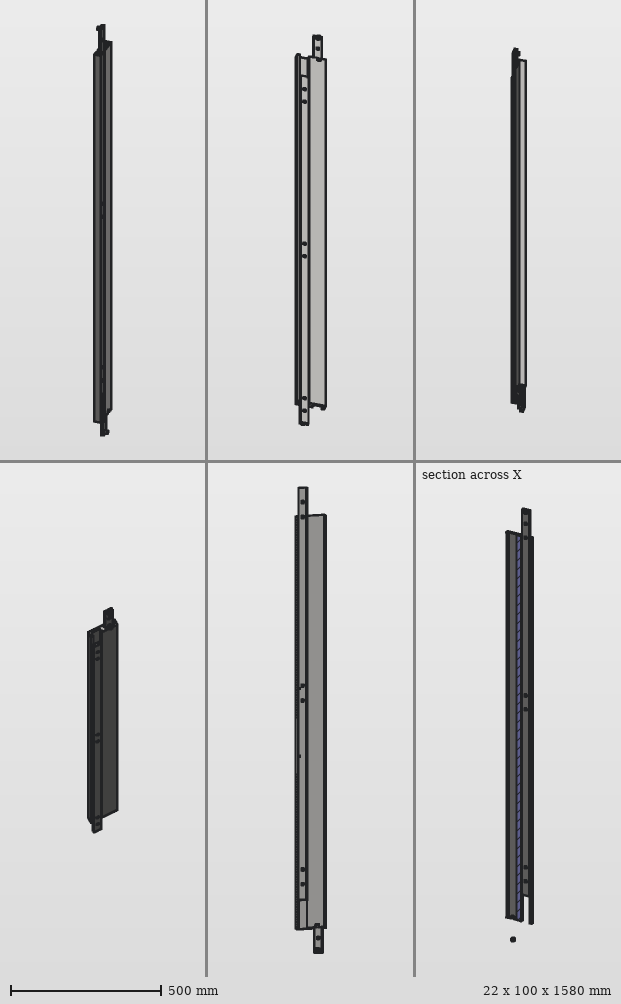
import cadquery as cq

DEPTH = 22.0
WIDTH = 100.0
TOTAL_HEIGHT = 1580.0
MEMBER_LENGTH = 1400.0
CARRIER_BOTTOM = 84.0
CARRIER_TOP = CARRIER_BOTTOM + MEMBER_LENGTH

WEB_THICKNESS = 8.0
CHANNEL_CENTER = 25.0
CHANNEL_WIDTH = 32.0
CHANNEL_DEPTH = DEPTH - WEB_THICKNESS
NOTCH_DIAMETER = 13.0
NOTCH_INSET = 5.0

SLIDE_WIDTH = 28.0
SLIDE_THICKNESS = 10.0
GROOVE_RADIUS = 3.0
HOLE_DIAMETER = 8.7
FIRST_HOLE = 49.0
HOLE_SPACING = 50.0
PAIR_PITCH = 624.0
PAIR_COUNT = 3
HOLES_PER_PAIR = 2
STOP_DIAMETER = 11.9
STOP_HEIGHT = 10.0
STOP_INSET = 8.0


def turned_end_for_end(body):
    """Turn a body half a turn about the X axis through mid-height, then mirror it across X.

    This carries the +Y, -X, lower side of the assembly onto the -Y, +X, upper side.
    """
    mid_height = TOTAL_HEIGHT / 2
    turned = body.rotate((0, 0, mid_height), (1, 0, mid_height), 180)
    return turned.mirror("YZ")


def x_cylinder(diameter, x_start, length, y, z):
    """Cylinder along +X from x_start."""
    plane = cq.Plane(origin=(x_start, y, z), xDir=(0, 1, 0), normal=(1, 0, 0))
    return cq.Workplane(plane).circle(diameter / 2).extrude(length)


def ball_groove(x, y, z):
    """Full-length round cutter centred on a slide edge or channel wall."""
    return cq.Workplane("XY", origin=(x, y, z)).circle(GROOVE_RADIUS).extrude(MEMBER_LENGTH)


def make_carrier():
    """S-shaped carrier with grooved channels and a notch at one end of each web."""
    carrier = (
        cq.Workplane("XY", origin=(0, 0, CARRIER_BOTTOM))
        .rect(DEPTH, WIDTH)
        .extrude(MEMBER_LENGTH)
    )
    for side in (1, -1):
        channel = (
            cq.Workplane("XY", origin=(-side * WEB_THICKNESS / 2, side * CHANNEL_CENTER, CARRIER_BOTTOM))
            .rect(CHANNEL_DEPTH, CHANNEL_WIDTH)
            .extrude(MEMBER_LENGTH)
        )
        notch_z = CARRIER_BOTTOM + NOTCH_INSET if side > 0 else CARRIER_TOP - NOTCH_INSET
        notch = x_cylinder(NOTCH_DIAMETER, -DEPTH / 2, DEPTH, side * CHANNEL_CENTER, notch_z)
        carrier = carrier.cut(channel).cut(notch)
        groove_x = -side * (DEPTH - SLIDE_THICKNESS) / 2
        for wall in (1, -1):
            wall_y = side * CHANNEL_CENTER + wall * CHANNEL_WIDTH / 2
            carrier = carrier.cut(ball_groove(groove_x, wall_y, CARRIER_BOTTOM))
    return carrier


def make_lower_slide():
    """Slide in the +Y channel, extended downwards."""
    outer_face = -DEPTH / 2
    middle_x = outer_face + SLIDE_THICKNESS / 2
    slide = (
        cq.Workplane("XY", origin=(middle_x, CHANNEL_CENTER, 0))
        .rect(SLIDE_THICKNESS, SLIDE_WIDTH)
        .extrude(MEMBER_LENGTH)
    )
    for side in (1, -1):
        edge_y = CHANNEL_CENTER + side * SLIDE_WIDTH / 2
        slide = slide.cut(ball_groove(middle_x, edge_y, 0))
    for pair in range(PAIR_COUNT):
        for position in range(HOLES_PER_PAIR):
            hole_z = FIRST_HOLE + pair * PAIR_PITCH + position * HOLE_SPACING
            slide = slide.cut(
                x_cylinder(HOLE_DIAMETER, outer_face, SLIDE_THICKNESS, CHANNEL_CENTER, hole_z)
            )
    inner_face = outer_face + SLIDE_THICKNESS
    stop = x_cylinder(STOP_DIAMETER, inner_face, STOP_HEIGHT, CHANNEL_CENTER, STOP_INSET)
    return slide.union(stop)


carrier = make_carrier()
lower_slide = make_lower_slide()
upper_slide = turned_end_for_end(lower_slide)

result = cq.Compound.makeCompound([carrier.val(), lower_slide.val(), upper_slide.val()])